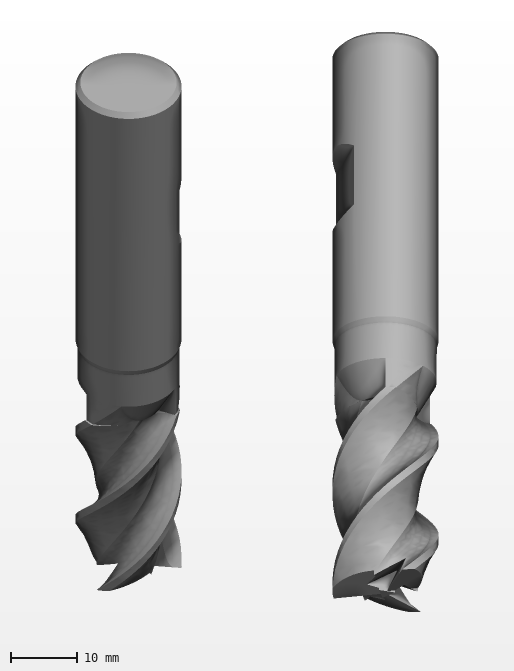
import cadquery as cq
import math

total_length = 92.0
tool_radius = 8.0
neck_radius = 7.7
cutter_length = 31.0
neck_top = 42.1
shank_bottom = 43.1
end_chamfer = 0.7

flat_depth = 1.7
flat_bottom = 63.0
flat_top = 73.05

flute_count = 3
tooth_pitch = 360.0 / flute_count
helix_angle = 45.0
helix_lead = 2 * math.pi * tool_radius / math.tan(math.radians(helix_angle))
first_edge_angle = 62.0
margin_angle = 11.0
back_angle, back_radius = 42.0, 5.9
heel_angle, heel_radius = 75.0, 5.0
gullet_angle, gullet_radius = 102.0, 4.6
rake_radius = 6.7
runout_top = 36.1

relief_angle = 16.0
gash_height = 3.9
gash_lean = 1.7
gash_width = 4.1
end_web = 0.7
end_clearance = 0.9


def polar(radius, angle):
    """Point at a radius and an angle in degrees."""
    a = math.radians(angle)
    return radius * math.cos(a), radius * math.sin(a)


def twist_at(height):
    """Rotation of the helix between the tip and a height."""
    return 360.0 * height / helix_lead


def fluted_bar(bottom, length):
    """Three-tooth section twisted along the right-hand helix."""
    start = first_edge_angle + twist_at(bottom)
    section = cq.Workplane("XY").workplane(offset=bottom).moveTo(*polar(tool_radius, start))
    for tooth in range(flute_count):
        edge = start + tooth * tooth_pitch
        next_edge = edge + tooth_pitch
        section = (
            section
            .threePointArc(polar(tool_radius, edge + margin_angle / 2), polar(tool_radius, edge + margin_angle))
            .threePointArc(polar(back_radius, edge + back_angle), polar(heel_radius, edge + heel_angle))
            .threePointArc(polar(gullet_radius, edge + gullet_angle), polar(rake_radius, next_edge))
        )
        if tooth < flute_count - 1:
            section = section.lineTo(*polar(tool_radius, next_edge))
    return section.close().twistExtrude(length, twist_at(length))


def end_tooth_cut(edge_angle):
    """Sloping relief behind one end cutting edge and the V gash ahead of it."""
    reach = 2 * tool_radius
    relief_rise = reach * math.tan(math.radians(relief_angle))
    profile = [
        (0, 0), (reach, relief_rise), (reach, -end_clearance),
        (-gash_width, -end_clearance), (-gash_width, 0), (gash_lean, gash_height),
    ]
    cut = cq.Workplane("YZ").workplane(offset=end_web).polyline(profile).close().extrude(reach)
    return cut.rotate((0, 0, 0), (0, 0, 1), edge_angle)


def make_cutter():
    cutter = fluted_bar(0, cutter_length)
    for tooth in range(flute_count):
        cutter = cutter.cut(end_tooth_cut(first_edge_angle + tooth * tooth_pitch))
    return cutter


def runout_tooth(edge_angle):
    """Tooth on the lower neck, with an upright radial wall in front and a helical back."""
    length = runout_top - cutter_length
    twist = twist_at(length)
    land_start = edge_angle - twist
    land_middle = edge_angle + (margin_angle - twist) / 2
    base = cq.Workplane("XY").workplane(offset=cutter_length)
    helical_tooth = (
        base.lineTo(*polar(neck_radius, land_start))
        .threePointArc(polar(neck_radius, land_middle), polar(neck_radius, edge_angle + margin_angle))
        .threePointArc(polar(back_radius, edge_angle + back_angle), polar(heel_radius, edge_angle + heel_angle))
        .close().twistExtrude(length, twist)
    )
    sector_end = edge_angle + heel_angle + twist
    upright_sector = (
        base.lineTo(*polar(tool_radius, edge_angle))
        .threePointArc(polar(tool_radius, (edge_angle + sector_end) / 2), polar(tool_radius, sector_end))
        .close().extrude(length)
    )
    return helical_tooth.intersect(upright_sector)


def make_fluted_neck():
    """Lower neck, where the flutes run out along a cone between the teeth."""
    cone = (
        cq.Workplane("XZ")
        .polyline([
            (0, cutter_length), (heel_radius, cutter_length), (neck_radius, runout_top), (0, runout_top),
        ])
        .close().revolve(360, (0, 0), (0, 1))
    )
    neck = cone
    first_edge = first_edge_angle + twist_at(cutter_length)
    for tooth in range(flute_count):
        neck = neck.union(runout_tooth(first_edge + tooth * tooth_pitch))
    return neck


def clamping_flat():
    floor = tool_radius - flat_depth
    return (
        cq.Workplane("YZ")
        .polyline([
            (floor, flat_bottom), (tool_radius, flat_bottom - flat_depth),
            (tool_radius, flat_top + flat_depth), (floor, flat_top),
        ])
        .close().extrude(tool_radius, both=True)
    )


def make_shank():
    profile = [
        (0, runout_top), (neck_radius, runout_top), (neck_radius, neck_top),
        (tool_radius, shank_bottom), (tool_radius, total_length - end_chamfer),
        (tool_radius - end_chamfer, total_length), (0, total_length),
    ]
    shank = cq.Workplane("XZ").polyline(profile).close().revolve(360, (0, 0), (0, 1))
    return shank.cut(clamping_flat()).union(make_fluted_neck())


cutter = make_cutter()
shank = make_shank()
result = cq.Compound.makeCompound([cutter.solids().val(), shank.solids().val()])